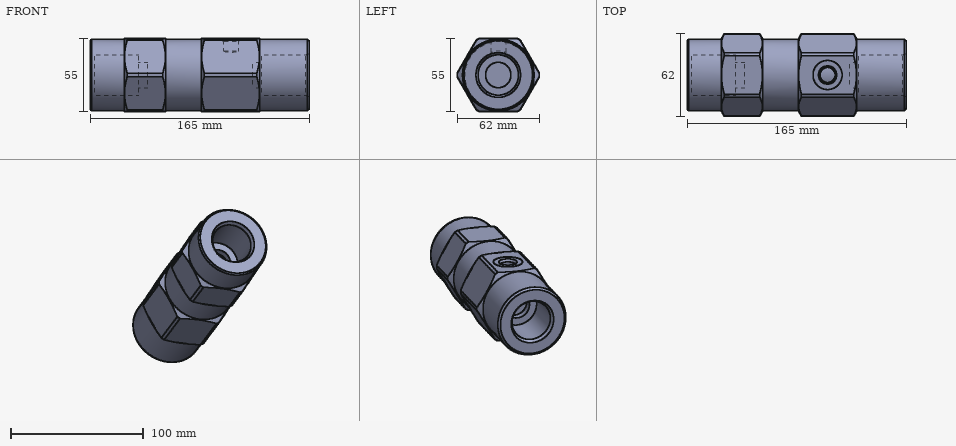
import cadquery as cq
import math

length = 165.0
body_diameter = 54.0
inlet_chamfer = 1.2
outlet_chamfer = 1.6

across_flats = 55.0
hex_corner_diameter = 62.0
hex_bevel_angle = 30.0
inlet_hex_start = 25.5
inlet_hex_end = 57.0
port_hex_start = 83.7
port_hex_end = 127.7

bore_diameter = 30.4
bore_mouth_diameter = 33.7
bore_mouth_length = 3.0
bore_depth = 36.3
inner_bore_diameter = 19.1
inner_bore_depth = 6.6

port_x = (port_hex_start + port_hex_end) / 2
port_diameter = 11.4
port_mouth_diameter = 13.7
spot_face_diameter = 22.0
spot_face_depth = 0.2
countersink_depth = 2.0
port_floor_radius = 18.2


def x_cylinder(start, end, diameter):
    """Cylinder on the X axis between two X positions."""
    return cq.Workplane("YZ", origin=(start, 0, 0)).circle(diameter / 2).extrude(end - start)


def round_body():
    body = x_cylinder(0, length, body_diameter)
    body = body.faces("<X").chamfer(inlet_chamfer)
    return body.faces(">X").chamfer(outlet_chamfer)


def wrench_hexagon(start, end):
    """Hexagon with flats facing up and down, and turned corners and ends."""
    corner_distance = across_flats / math.cos(math.pi / 6)
    prism = cq.Workplane("YZ", origin=(start, 0, 0)).polygon(6, corner_distance).extrude(end - start)
    inner_radius = body_diameter / 2
    outer_radius = hex_corner_diameter / 2
    bevel_length = (outer_radius - inner_radius) * math.tan(math.radians(hex_bevel_angle))
    turned_blank = (
        cq.Workplane("XY")
        .moveTo(start, 0)
        .lineTo(start, inner_radius)
        .lineTo(start + bevel_length, outer_radius)
        .lineTo(end - bevel_length, outer_radius)
        .lineTo(end, inner_radius)
        .lineTo(end, 0)
        .close()
        .revolve(360, (0, 0, 0), (1, 0, 0))
    )
    return prism.intersect(turned_blank)


def inlet_bore():
    """Stepped blind bore with a tapered mouth, opening at X = 0."""
    mouth_radius = bore_mouth_diameter / 2
    bore_radius = bore_diameter / 2
    inner_radius = inner_bore_diameter / 2
    bottom = bore_depth + inner_bore_depth
    return (
        cq.Workplane("XY")
        .moveTo(0, 0)
        .lineTo(0, mouth_radius)
        .lineTo(bore_mouth_length, bore_radius)
        .lineTo(bore_depth, bore_radius)
        .lineTo(bore_depth, inner_radius)
        .lineTo(bottom, inner_radius)
        .lineTo(bottom, 0)
        .close()
        .revolve(360, (0, 0, 0), (1, 0, 0))
    )


def side_port():
    """Spot-faced, countersunk hole ending on a core concentric with the body."""
    spot_face_z = across_flats / 2 - spot_face_depth
    profile = (
        cq.Workplane("XZ", origin=(port_x, 0, 0))
        .lineTo(port_diameter / 2, 0)
        .lineTo(port_diameter / 2, spot_face_z - countersink_depth)
        .lineTo(port_mouth_diameter / 2, spot_face_z)
        .lineTo(spot_face_diameter / 2, spot_face_z)
        .lineTo(spot_face_diameter / 2, across_flats / 2)
        .lineTo(0, across_flats / 2)
        .close()
    )
    hole = profile.revolve(360, (0, 0, 0), (0, 1, 0))
    core = x_cylinder(port_hex_start, port_hex_end, 2 * port_floor_radius)
    return hole.cut(core)


result = round_body()
result = result.union(wrench_hexagon(inlet_hex_start, inlet_hex_end))
result = result.union(wrench_hexagon(port_hex_start, port_hex_end))

outlet_bore = inlet_bore().mirror("YZ").translate((length, 0, 0))
result = result.cut(inlet_bore()).cut(outlet_bore).cut(side_port())